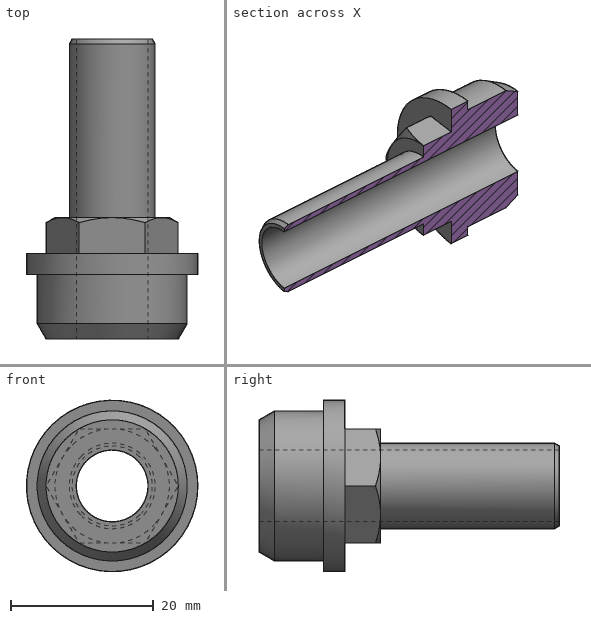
import math
import cadquery as cq

bore_diameter = 10.0
total_length = 42.0
end_chamfer_angle = 60.0

spigot_diameter = 21.0
spigot_length = 9.0
spigot_chamfer_radial = 1.25
spigot_chamfer_axial = spigot_chamfer_radial * math.tan(math.radians(end_chamfer_angle))

flange_diameter = 24.0
flange_thickness = 3.0

hex_across_flats = 16.0
hex_sides = 6
hex_across_corners = hex_across_flats / math.cos(math.pi / hex_sides)
hex_length = 5.0
hex_chamfer_angle = 30.0

tube_diameter = 12.0
tube_chamfer_radial = 0.4
tube_chamfer_axial = tube_chamfer_radial * math.tan(math.radians(end_chamfer_angle))

flange_front = spigot_length
hex_front = flange_front + flange_thickness
hex_back = hex_front + hex_length


def revolve_about_y(points):
    """Revolve a closed (radius, Y) outline around the Y axis."""
    return cq.Workplane("XY").polyline(points).close().revolve(360, (0, 0), (0, 1))


def make_round_body():
    """Chamfered spigot, flange and chamfered tube as one turned body."""
    spigot_radius = spigot_diameter / 2
    flange_radius = flange_diameter / 2
    tube_radius = tube_diameter / 2
    return revolve_about_y([
        (0, 0),
        (spigot_radius - spigot_chamfer_radial, 0),
        (spigot_radius, spigot_chamfer_axial),
        (spigot_radius, flange_front),
        (flange_radius, flange_front),
        (flange_radius, hex_front),
        (tube_radius, hex_front),
        (tube_radius, total_length - tube_chamfer_axial),
        (tube_radius - tube_chamfer_radial, total_length),
        (0, total_length),
    ])


def make_hex():
    """Hexagon with corners on the X axis, its back corners cut by a cone."""
    prism = (
        cq.Workplane("XZ", origin=(0, hex_front, 0))
        .polygon(hex_sides, hex_across_corners)
        .extrude(-hex_length)
    )
    corner_radius = hex_across_corners / 2
    cone_radius = hex_across_flats / 2
    cone_depth = (corner_radius - cone_radius) * math.tan(math.radians(hex_chamfer_angle))
    envelope = revolve_about_y([
        (0, hex_front),
        (corner_radius, hex_front),
        (corner_radius, hex_back - cone_depth),
        (cone_radius, hex_back),
        (0, hex_back),
    ])
    return prism.intersect(envelope)


def make_bore():
    """Through bore along the Y axis."""
    return cq.Workplane("XZ").circle(bore_diameter / 2).extrude(-total_length)


result = make_round_body().union(make_hex()).cut(make_bore())